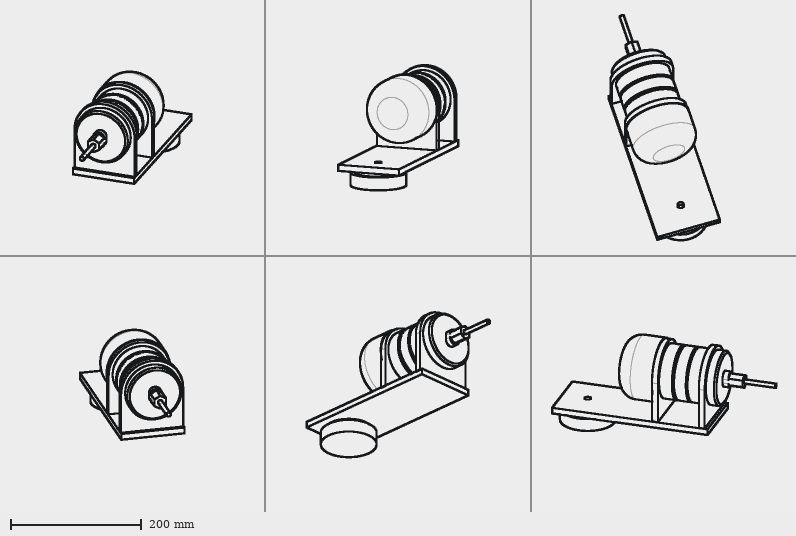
import cadquery as cq


plate_width = 100.0
plate_length = 250.0
plate_thickness = 9.5
plate_back_y = 41.0
mounting_hole_diameter = 10.0

neck_diameter = 70.8
neck_height = 6.0
foot_diameter = 85.5
foot_height = 20.0

cradle_width = 98.0
cradle_thickness = 9.3
front_cradle_back_y = -119.5
rear_cradle_back_y = -194.8
axis_height = 65.0

head_diameter = plate_width
head_back_y = -59.7
head_rounding = 25.0
body_diameter = 85.5
body_end_y = -220.0
body_chamfer = 3.0
groove_depth = 1.7
wide_groove_y = -149.2
wide_groove_width = 3.0
narrow_groove_y = -171.5
narrow_groove_width = 2.5

gland_width = 18.5
gland_neck_height = 25.2
gland_neck_length = 9.3
gland_nut_length = 22.8
cable_diameter = 7.0
cable_end_y = foot_diameter / 2 - 345.3


def section_at(y):
    """Workplane on the camera axis at the given Y, extruding towards -Y."""
    return cq.Workplane("XZ", origin=(0, y, axis_height))


def make_cradle(back_y):
    """Upright with a round top and a bore that fits the camera body."""
    radius = cradle_width / 2
    return (
        section_at(back_y)
        .moveTo(-radius, -axis_height)
        .lineTo(-radius, 0)
        .threePointArc((0, radius), (radius, 0))
        .lineTo(radius, -axis_height)
        .close()
        .extrude(cradle_thickness)
        .cut(section_at(back_y).circle(body_diameter / 2).extrude(cradle_thickness))
    )


def make_bracket():
    """Base plate with its foot, two cradles and a mounting hole that ends on the foot neck."""
    plate = cq.Workplane("XY").box(
        plate_width, plate_length, plate_thickness, centered=(True, False, False)
    ).translate((0, plate_back_y - plate_length, -plate_thickness))
    bracket = (
        plate.faces("<Z").workplane(origin=(0, 0, 0))
        .circle(neck_diameter / 2).extrude(neck_height)
        .faces("<Z").workplane(origin=(0, 0, 0))
        .circle(foot_diameter / 2).extrude(foot_height)
    )
    for back_y in (front_cradle_back_y, rear_cradle_back_y):
        bracket = bracket.union(make_cradle(back_y))
    mounting_hole = cq.Workplane("XY").circle(mounting_hole_diameter / 2).extrude(-plate_thickness)
    return bracket.cut(mounting_hole)


def make_groove(start_y, width):
    """Ring to be cut around the camera body."""
    outer_radius = body_diameter / 2
    return section_at(start_y).circle(outer_radius).circle(outer_radius - groove_depth).extrude(width)


def make_housing():
    """Domed head and grooved cylindrical body."""
    head = (
        section_at(head_back_y)
        .circle(head_diameter / 2)
        .extrude(head_back_y - front_cradle_back_y)
        .faces(">Y").edges().fillet(head_rounding)
    )
    body = (
        section_at(front_cradle_back_y)
        .circle(body_diameter / 2)
        .extrude(front_cradle_back_y - body_end_y)
        .faces("<Y").edges().chamfer(body_chamfer)
    )
    return (
        head.union(body)
        .cut(make_groove(wide_groove_y, wide_groove_width))
        .cut(make_groove(narrow_groove_y, narrow_groove_width))
    )


def make_cable_gland():
    """Oblong neck, hexagonal nut with a corner at the top, and the cable."""
    nut_start_y = body_end_y - gland_neck_length
    cable_start_y = nut_start_y - gland_nut_length
    neck = section_at(body_end_y).slot2D(gland_neck_height, gland_width, 90).extrude(gland_neck_length)
    nut = (
        section_at(nut_start_y)
        .polygon(6, gland_width, circumscribed=True)
        .extrude(gland_nut_length)
    )
    cable = section_at(cable_start_y).circle(cable_diameter / 2).extrude(cable_start_y - cable_end_y)
    return neck.union(nut).union(cable)


bracket = make_bracket()
camera = make_housing().union(make_cable_gland())

result = cq.Compound.makeCompound([bracket.val(), camera.val()])